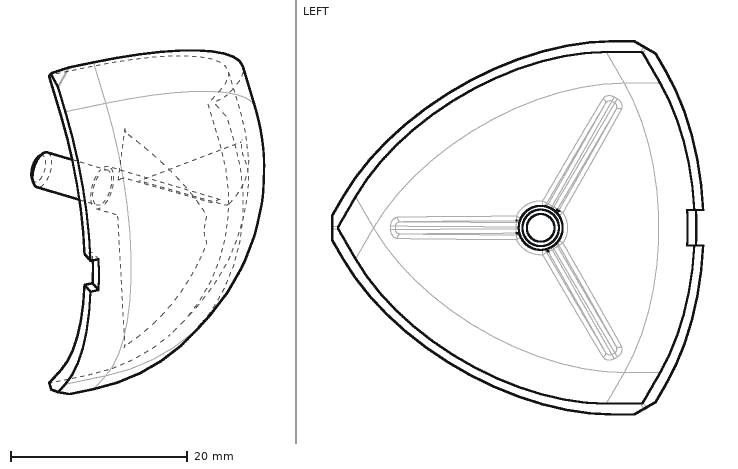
import cadquery as cq
import math


side_count = 3

outer_radius = 25.0
wall = 1.75
inner_radius = outer_radius - wall
skirt = 5.0
tip_trim = 2.0
edge_round = 0.2

notch_width = 4.0
notch_depth = 1.0

pin_start = -0.79
pin_diameter = 4.15
pin_chamfer = 0.5
boss_start = 7.7
boss_diameter = 5.0

rib_edge_thickness = 1.15
rib_draft = 1.0
rib_apex = 9.7
rib_slope = 20.7
rib_round = 0.5
root_fillet = 0.5

touch_tolerance = 1e-4

root_radius = inner_radius + wall / 2

cube_edge_a = cq.Vector(1 / math.sqrt(3), -1 / math.sqrt(6), 1 / math.sqrt(2))
cube_edge_c = cq.Vector(1 / math.sqrt(3), 2 / math.sqrt(6), 0)
cube_plane = cq.Plane(origin=(0, 0, 0), xDir=cube_edge_a, normal=cube_edge_c)

tip_flat = (2 * outer_radius + 2 * skirt - tip_trim) / math.sqrt(6)


def around_axis(body, index):
    return body.rotate((0, 0, 0), (1, 0, 0), index * 360 / side_count)


def rounded_corner(radius, depth):
    """Cube corner reaching `radius` out and `depth` back, rounded to a sphere."""
    size = radius + depth
    low_corner = cube_plane.toWorldCoords((-depth, -depth, -depth))
    high_corner = cube_plane.toWorldCoords((radius, radius, radius))
    block = cq.Workplane(cube_plane).box(size, size, size, centered=False)
    block = block.translate(low_corner.toTuple())
    vertex = block.vertices(cq.selectors.NearestToPointSelector(high_corner.toTuple()))
    return vertex.ancestors("Edge").fillet(radius)


def trim_tip(shell):
    """Cut the cap tip on the +Y side flat and soften its sharp edges."""
    reach = 2 * outer_radius
    beyond_flat = cq.Workplane("XY").box(reach, reach, reach).translate((0, tip_flat + reach / 2, 0))
    shell = shell.cut(beyond_flat)
    flat_top_edge = shell.faces(">Y").edges(">X")
    middle_radius = (inner_radius + outer_radius) / 2
    ridge_middle = cube_plane.toWorldCoords((-skirt, -skirt, middle_radius))
    ridge = shell.edges(cq.selectors.NearestToPointSelector(ridge_middle.toTuple()))
    return flat_top_edge.add(ridge).fillet(edge_round)


def make_wall():
    shell = rounded_corner(outer_radius, skirt).cut(rounded_corner(inner_radius, 2 * skirt))
    for _ in range(side_count):
        shell = trim_tip(around_axis(shell, 1))
    return shell


def make_notch():
    """Cutter through the middle of the -Y rim, `notch_depth` into the wall."""
    cutter_height = 2 * notch_depth
    cutter_length = 2 * outer_radius
    along_z = cq.Vector(0, 0, 1)
    outward = cube_edge_c.cross(along_z)
    centre = outward * (cutter_length / 2) - cube_edge_c * skirt
    notch_plane = cq.Plane(origin=centre.toTuple(), xDir=along_z, normal=cube_edge_c)
    return cq.Workplane(notch_plane).box(notch_width, cutter_length, cutter_height)


def cylinder_along_x(diameter, start, end):
    return cq.Workplane("YZ").workplane(offset=start).circle(diameter / 2).extrude(end - start)


def make_rib():
    """Rib in the XY plane on the +Y side, with its sloping edge rounded."""
    reach = outer_radius
    far_x = rib_apex + reach * math.tan(math.radians(rib_slope))
    outline = [(rib_apex, 0), (far_x, reach), (reach, reach), (reach, 0)]
    thin = rib_edge_thickness / 2
    thick = thin + (reach - rib_apex) * math.tan(math.radians(rib_draft))
    section = [(rib_apex, thin), (reach, thick), (reach, -thick), (rib_apex, -thin)]
    rib = cq.Workplane("XZ").polyline(section).close().extrude(-reach)
    rib = rib.intersect(cq.Workplane("XY").polyline(outline).close().extrude(reach, both=True))
    slope_middle = ((rib_apex + far_x) / 2, reach / 2, 0)
    sloping_face = rib.faces(cq.selectors.NearestToPointSelector(slope_middle))
    rib = sloping_face.edges("not |Z").fillet(rib_round)
    return rib.intersect(cq.Workplane("XY").sphere(root_radius))


def shared_edges(body, first, second):
    """Edges of `body` that lie on both given solids."""
    def on_both(edge):
        point = cq.Vertex.makeVertex(*edge.positionAt(0.5).toTuple())
        return max(point.distance(first.val()), point.distance(second.val())) < touch_tolerance

    return [edge for edge in body.edges().vals() if on_both(edge)]


cap = make_wall()
boss = cylinder_along_x(boss_diameter, boss_start, root_radius)
ribs = [around_axis(make_rib(), index) for index in range(side_count)]

body = cap.union(boss)
for rib in ribs:
    body = body.union(rib)
roots = shared_edges(body, cap, boss)
for rib in ribs:
    roots += shared_edges(body, cap, rib) + shared_edges(body, boss, rib)
body = body.newObject(roots).fillet(root_fillet)

pin = cylinder_along_x(pin_diameter, pin_start, boss_start).faces("<X").chamfer(pin_chamfer)
result = body.union(pin).cut(make_notch())